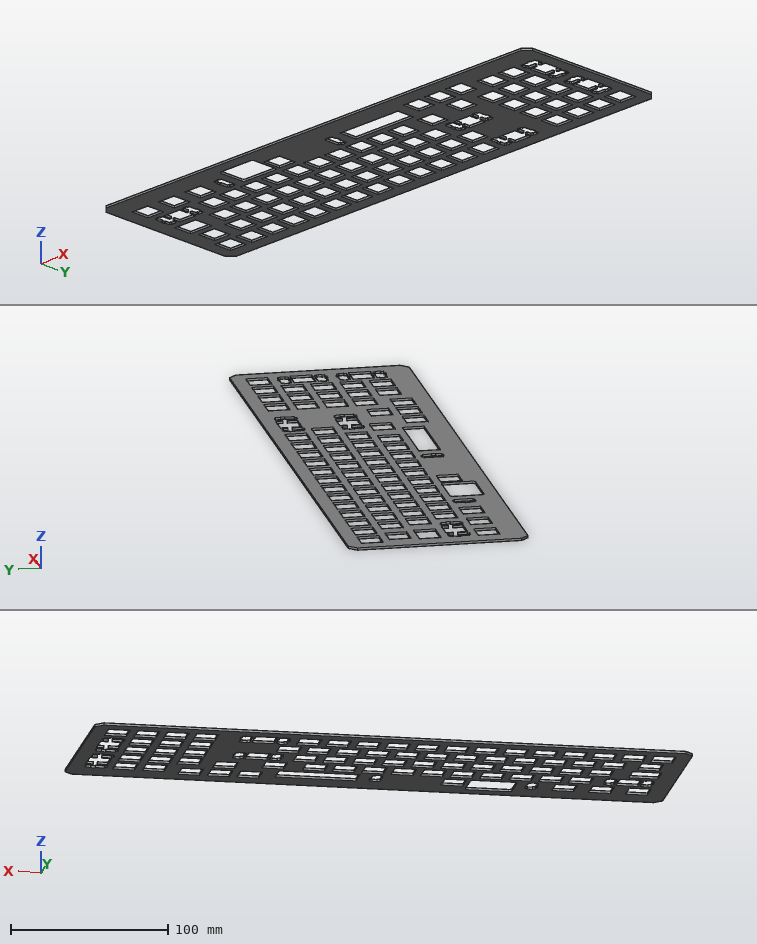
import cadquery as cq

plate_length = 385.8
plate_width = 116.5
plate_thickness = 1.6
corner_chamfer = 5.0

field_length = 371.5
keys_along_field = 19.5
pitch = field_length / keys_along_field
first_key_x = -field_length / 2 + pitch / 2
top_row_y = 41.5

gap_between_switches = 5.0
switch_side = pitch - gap_between_switches

stabilizer_offset = 12.0
spacebar_stabilizer_offset = 50.0
stabilizer_half_width = 3.3
stabilizer_top = 5.8
stabilizer_bottom = -6.5
clip_half_width = 1.65
clip_top = 6.5
clip_bottom = -7.7
channel_top = 2.5
channel_bottom = -0.5
notch_depth = 0.8

window_length = 30.0
window_width = 22.0
window_radius = 2.0
window_x = -79.5
window_y = -38.0

spacebar_row = 4
spacebar_column = 6.375

key_runs = [
    (0, 0, 13),
    (0, 15.5, 4),
    (1, 0.25, 1),
    (1, 1.5, 12),
    (1, 15.5, 3),
    (2, 1.75, 11),
    (2, 15.5, 3),
    (3, 2.25, 10),
    (3, 12.625, 1),
    (3, 15.5, 3),
    (3.25, 14.25, 1),
    (4, 0.125, 1),
    (4, 1.375, 1),
    (4, 2.625, 1),
    (spacebar_row, spacebar_column, 1),
    (4, 16.5, 2),
    (4.25, 13.25, 3),
]

merged_keys = [
    (2, 0.125, 0.375),
    (4, 10, 12),
]

stabilized_keys = [
    (0, 13.5, 0),
    (2, 13.375, 0),
    (3, 0.625, 0),
    (1.5, 18.5, -90),
    (3.5, 18.5, -90),
]


def key_position(row, column):
    return first_key_x + column * pitch, top_row_y - row * pitch


def block(left, right, bottom, top):
    """Cutting block through the plate over the given rectangle."""
    return (
        cq.Workplane("XY")
        .center((left + right) / 2, (bottom + top) / 2)
        .rect(right - left, top - bottom)
        .extrude(plate_thickness)
    )


def merged_cutter(row, first_column, last_column):
    left, y = key_position(row, first_column)
    right, _ = key_position(row, last_column)
    half = switch_side / 2
    return block(left - half, right + half, y - half, y + half)


def stabilizer_cutter(offset):
    """Stabilizer opening at the right of a key centred on the origin, with its notch facing outward."""
    left = offset - stabilizer_half_width
    right = offset + stabilizer_half_width
    housing = block(left, right, stabilizer_bottom, stabilizer_top)
    clip = block(offset - clip_half_width, offset + clip_half_width, clip_bottom, clip_top)
    notch = block(offset, right + notch_depth, channel_bottom, channel_top)
    return housing.union(clip).union(notch)


def stabilizer_pair(offset):
    right_side = stabilizer_cutter(offset)
    return right_side.union(right_side.mirror("YZ"))


def stabilized_key_cutter():
    half = switch_side / 2
    switch = block(-half, half, -half, half)
    channel = block(-stabilizer_offset, stabilizer_offset, channel_bottom, channel_top)
    return stabilizer_pair(stabilizer_offset).union(switch).union(channel)


def place(cutter, row, column, turn):
    turned = cutter.rotate((0, 0, 0), (0, 0, 1), turn)
    x, y = key_position(row, column)
    return turned.translate((x, y, 0))


plate = (
    cq.Workplane("XY")
    .rect(plate_length, plate_width)
    .extrude(plate_thickness)
    .edges("|Z")
    .chamfer(corner_chamfer)
)

key_points = []
for row, first_column, count in key_runs:
    for step in range(count):
        key_points.append(key_position(row, first_column + step))
plate = plate.cut(
    cq.Workplane("XY").pushPoints(key_points).rect(switch_side, switch_side).extrude(plate_thickness)
)

for row, first_column, last_column in merged_keys:
    plate = plate.cut(merged_cutter(row, first_column, last_column))

for row, column, turn in stabilized_keys:
    plate = plate.cut(place(stabilized_key_cutter(), row, column, turn))

spacebar_stabilizers = stabilizer_pair(spacebar_stabilizer_offset)
plate = plate.cut(place(spacebar_stabilizers, spacebar_row, spacebar_column, 180))

window = (
    cq.Workplane("XY")
    .center(window_x, window_y)
    .rect(window_length, window_width)
    .extrude(plate_thickness)
    .edges("|Z")
    .fillet(window_radius)
)
result = plate.cut(window)